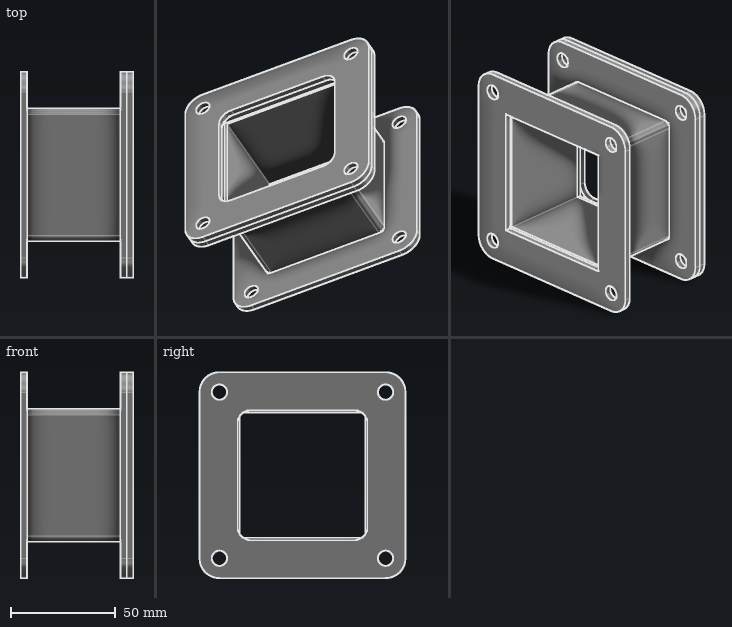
import cadquery as cq

plate_size = 98.4
plate_thickness = 3.15
corner_radius = 9.5
bolt_hole_diameter = 7.2
bolt_pitch = plate_size - 2 * corner_radius
opening_size = 62.0
end_opening_radius = 6.4

total_length = 53.9
tube_size = 63.6
tube_corner_radius = 3.0
tube_bore = 59.7
tube_bore_radius = 0.1

tube_start = plate_thickness
end_plate_start = total_length - plate_thickness
tube_end = end_plate_start - plate_thickness


def square_prism(size, x_start, x_end, radius=0):
    """Square prism along X, centred on the X axis, with optional rounded corners."""
    prism = cq.Workplane("YZ", origin=(x_start, 0, 0)).rect(size, size).extrude(x_end - x_start)
    if radius > 0:
        prism = prism.edges("|X").fillet(radius)
    return prism


def make_plate(x_start, opening_radius=0):
    """Rounded square plate with a square opening and four bolt holes."""
    x_end = x_start + plate_thickness
    plate = square_prism(plate_size, x_start, x_end, corner_radius)
    opening = square_prism(opening_size, x_start, x_end, opening_radius)
    bolt_holes = (
        cq.Workplane("YZ", origin=(x_start, 0, 0))
        .rect(bolt_pitch, bolt_pitch, forConstruction=True)
        .vertices()
        .circle(bolt_hole_diameter / 2)
        .extrude(plate_thickness)
    )
    return plate.cut(opening).cut(bolt_holes)


def make_tube():
    """Square tube with rounded corners, butted between the two flanges."""
    body = square_prism(tube_size, tube_start, tube_end, tube_corner_radius)
    return body.cut(square_prism(tube_bore, tube_start, tube_end, tube_bore_radius))


tube = make_tube()
flanges = [make_plate(x_start) for x_start in (0, tube_end)]
end_plate = make_plate(end_plate_start, end_opening_radius)

result = cq.Compound.makeCompound(
    [tube.val(), *[flange.val() for flange in flanges], end_plate.val()]
)